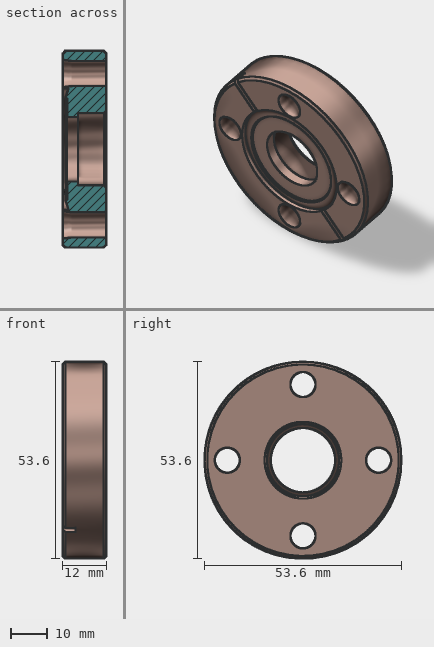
import cadquery as cq

outer_radius = 26.8
thickness = 11.95
rim_chamfer = 0.75
front_x = -thickness / 2
back_x = thickness / 2

recess_radius = 16.45
recess_depth = 1.5
recess_floor_width = 0.1
ridge_radius = 13.9
ridge_depth = 0.75
ridge_inner_radius = 13.7
inner_face_depth = 1.25

bore_radius = 8.75
bore_length = 3.0
socket_radius = 9.8
socket_chamfer = 0.65

bolt_count = 4
bolt_circle_radius = 20.6
bolt_radius = 3.4
bolt_mouth_radius = 3.75
bolt_taper_depth = 2.6

slot_width = 1.5
slot_depth = 3.6
slot_angle = 45.0


def make_disc():
    """Revolve the half section, drawn as (x, radius), about the X axis."""
    bore_end_x = front_x + inner_face_depth + bore_length
    section = [
        (front_x + inner_face_depth, bore_radius),
        (front_x + inner_face_depth, ridge_inner_radius),
        (front_x + ridge_depth, ridge_radius),
        (front_x + recess_depth, recess_radius - recess_floor_width),
        (front_x + recess_depth, recess_radius),
        (front_x, recess_radius),
        (front_x, outer_radius - rim_chamfer),
        (front_x + rim_chamfer, outer_radius),
        (back_x - rim_chamfer, outer_radius),
        (back_x, outer_radius - rim_chamfer),
        (back_x, socket_radius + socket_chamfer),
        (back_x - socket_chamfer, socket_radius),
        (bore_end_x, socket_radius),
        (bore_end_x, bore_radius),
    ]
    return cq.Workplane("XY").polyline(section).close().revolve(360, (0, 0, 0), (1, 0, 0))


def make_bolt_hole():
    """Cutter for the bolt hole on the +Z side."""
    section = [
        (front_x, 0),
        (front_x, bolt_mouth_radius),
        (front_x + bolt_taper_depth, bolt_radius),
        (back_x, bolt_radius),
        (back_x, 0),
    ]
    cutter = cq.Workplane("XY").polyline(section).close().revolve(360, (0, 0, 0), (1, 0, 0))
    return cutter.translate((0, 0, bolt_circle_radius))


def make_slots():
    """Cutter for both slots, running from the recess wall out through the rim."""
    bar = cq.Workplane("XY").box(slot_depth, slot_width, 2 * outer_radius, centered=(False, True, True))
    core = cq.Workplane("YZ").circle(recess_radius).extrude(slot_depth)
    slots = bar.cut(core).rotate((0, 0, 0), (1, 0, 0), -slot_angle)
    return slots.translate((front_x, 0, 0))


result = make_disc()
for index in range(bolt_count):
    hole_angle = index * 360 / bolt_count
    result = result.cut(make_bolt_hole().rotate((0, 0, 0), (1, 0, 0), hole_angle))
result = result.cut(make_slots())